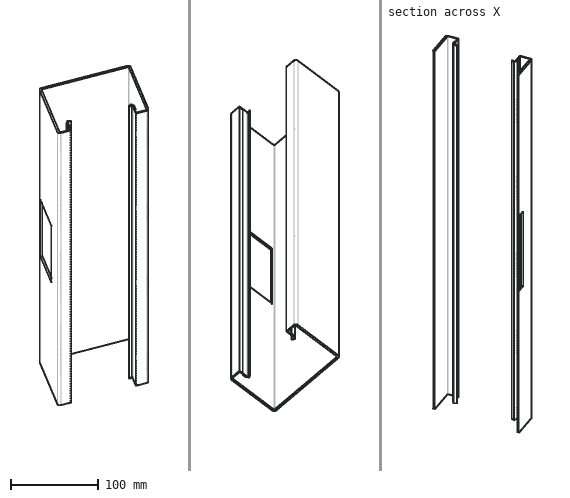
import cadquery as cq

width = 70.0
depth = 110.0
length = 500.0

wall = 2.5
corner_radius = 3.0
inner_radius = corner_radius - wall

front_wall = 1.5
flange = 16.0
lip_reach = 15.0
lip_thickness = 1.0
crest_thickness = 2.0
step_start = 6.0
step_end = 7.0
crest_end = 11.5
hook_bend = 16.5
hook_depth = 20.0
hook_thickness = 1.5
hook_setback = 1.5

window_width = 40.0
window_height = 104.0
window_offset = 5.5


def make_shell():
    """Closed tube with rounded corners, standing on the XY plane."""
    outside = cq.Workplane("XY").rect(width, depth).extrude(length)
    outside = outside.edges("|Z").fillet(corner_radius)
    inside_width = width - wall - front_wall
    inside = cq.Workplane("XY").center((wall - front_wall) / 2, 0)
    inside = inside.rect(inside_width, depth - 2 * wall).extrude(length)
    inside = inside.edges("|Z").fillet(inner_radius)
    return outside.cut(inside)


def make_mouth():
    """Opening between the two lips on the +X side."""
    mouth_width = depth - 2 * flange
    mouth = cq.Workplane("XY").center(width / 2, 0).rect(4 * wall, mouth_width)
    return mouth.extrude(length)


def make_lip():
    """Lip with a thickened crest and a hooked end, on the -Y side of the mouth."""
    right = width / 2
    side = -depth / 2
    lip_outer = side + flange
    lip_inner = lip_outer - lip_thickness
    crest_inner = lip_outer - crest_thickness
    bend = side + hook_bend
    tip = right - lip_reach
    hook_end = side + hook_depth
    outline = [
        (right, lip_outer),
        (right - crest_end, lip_outer),
        (tip + hook_thickness, bend),
        (tip + hook_setback + hook_thickness, hook_end),
        (tip + hook_setback, hook_end),
        (tip, bend),
        (right - crest_end, crest_inner),
        (right - step_end, crest_inner),
        (right - step_start, lip_inner),
        (right, lip_inner),
    ]
    return cq.Workplane("XY").polyline(outline).close().extrude(length)


def make_window():
    """Rectangular cutter through the -Y side, centred along the length."""
    center_x = -width / 2 + window_offset + window_width / 2
    window = cq.Workplane("XY").box(window_width, 4 * wall, window_height)
    return window.translate((center_x, -depth / 2, length / 2))


lip = make_lip()
channel = make_shell().cut(make_mouth())
channel = channel.union(lip).union(lip.mirror("XZ"))
result = channel.cut(make_window())